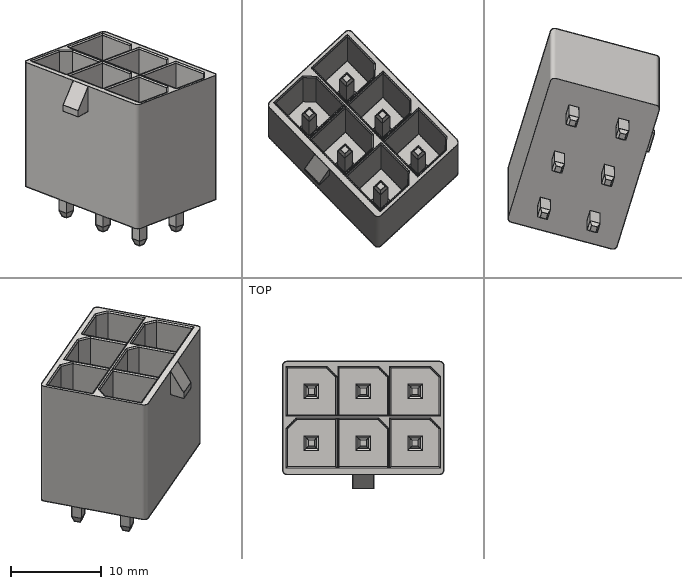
import cadquery as cq
import math

body_length = 17.75
body_width = 12.47
body_height = 14.8
corner_radius = 0.5

column_count = 3
row_count = 2
pitch = 5.7
grid_offset_y = 0.07

pocket_length = 5.3
pocket_width = 5.18
pocket_key_cut = 1.02
pocket_depth = 11.84
mouth_bevel = 0.15

pin_size = 1.15
pin_tip_size = 0.68
pin_tip_length = 0.68
pin_tail_length = 3.7
pin_rise = 7.4
funnel_size = 1.6

latch_width = 2.33
latch_reach = 1.55
latch_ramp_drop = 2.46
latch_tip_drop = 3.2
latch_root_drop = 3.02

floor_z = body_height - pocket_depth


def contact_positions():
    """Column, row and XY centre of every contact; row 0 is next to the latch."""
    positions = []
    for row in range(row_count):
        for column in range(column_count):
            x = (column - (column_count - 1) / 2) * pitch
            y = (row - (row_count - 1) / 2) * pitch + grid_offset_y
            positions.append((column, row, x, y))
    return positions


def frustum(bottom_size, top_size, height, bottom_z):
    """Square tapered block on the Z axis."""
    return (
        cq.Workplane("XY", origin=(0, 0, bottom_z))
        .rect(bottom_size, bottom_size)
        .workplane(offset=height)
        .rect(top_size, top_size)
        .loft(ruled=True)
    )


def make_housing():
    return (
        cq.Workplane("XY")
        .box(body_length, body_width, body_height, centered=(True, True, False))
        .edges("|Z")
        .fillet(corner_radius)
    )


def pocket_outline(key_side, margin, z):
    """Pocket rectangle grown by margin; key_side is +1 or -1 along X for the cut corner."""
    half_x = key_side * (pocket_length / 2 + margin)
    half_y = pocket_width / 2 + margin
    key_cut = pocket_key_cut + margin * (2 - math.sqrt(2))
    return (
        cq.Workplane("XY", origin=(0, 0, z))
        .moveTo(-half_x, -half_y)
        .lineTo(half_x, -half_y)
        .lineTo(half_x, half_y - key_cut)
        .lineTo(half_x - key_side * key_cut, half_y)
        .lineTo(-half_x, half_y)
        .close()
    )


def make_pocket(key_side):
    """Pocket cutter whose mouth flares at 45 degrees up to the housing top."""
    shaft = pocket_outline(key_side, 0, floor_z).extrude(pocket_depth)
    mouth_wires = [
        pocket_outline(key_side, 0, body_height - mouth_bevel).val(),
        pocket_outline(key_side, mouth_bevel, body_height).val(),
    ]
    return shaft.union(cq.Workplane(cq.Solid.makeLoft(mouth_wires, True)))


def make_funnel():
    """Shallow 45 degree funnel sunk into the pocket floor, closing on the pin."""
    depth = (funnel_size - pin_size) / 2
    return frustum(pin_size, funnel_size, depth, floor_z - depth)


def make_pin():
    """Square pin running from its tail end below the housing to its tip inside the pocket."""
    shank_bottom = pin_tip_length - pin_tail_length
    shank_top = floor_z + pin_rise - pin_tip_length
    shank = (
        cq.Workplane("XY", origin=(0, 0, shank_bottom))
        .rect(pin_size, pin_size)
        .extrude(shank_top - shank_bottom)
    )
    tail_end = frustum(pin_tip_size, pin_size, pin_tip_length, -pin_tail_length)
    tip = frustum(pin_size, pin_tip_size, pin_tip_length, shank_top)
    return shank.union(tail_end).union(tip)


def make_latch():
    """Hooked ramp that grows outwards from the top edge of the -Y face."""
    face_y = -body_width / 2
    tip_y = face_y - latch_reach
    profile = [
        (face_y, body_height),
        (tip_y, body_height - latch_ramp_drop),
        (tip_y, body_height - latch_tip_drop),
        (face_y, body_height - latch_root_drop),
    ]
    return cq.Workplane("YZ").polyline(profile).close().extrude(latch_width / 2, both=True)


result = make_housing().union(make_latch())

funnel = make_funnel()
for column, row, x, y in contact_positions():
    key_side = -1 if (column, row) == (0, 0) else 1
    result = result.cut(make_pocket(key_side).union(funnel).translate((x, y, 0)))

pin = make_pin()
for _, _, x, y in contact_positions():
    result = result.union(pin.translate((x, y, 0)))